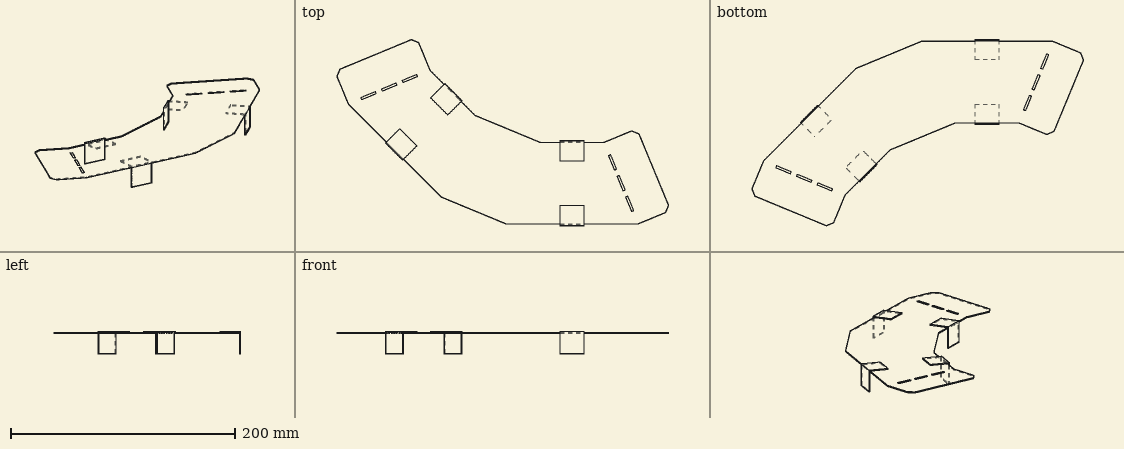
import cadquery as cq
import math


turn = 22.5
panel_width = 79.0
middle_length = 63.1
arm_inner_length = 56.5
end_length = 32.0
end_corner_chamfer = 5.0
plate_thickness = 1.0

slot_length = 14.0
slot_width = 2.0
slot_depth = plate_thickness / 2
slot_pitch = 20.0
slots_per_row = 3
slot_offset = 0.4

clip_width = 21.6
clip_flange = 18.0
clip_height = 20.08
clip_thickness = 1.0
right_clip_gap = 0.47
left_clip_gap = 0.0

turn_radians = math.radians(turn)
arm_width = panel_width * math.cos(turn_radians)
arm_slant = arm_width * math.tan(turn_radians)
arm_outer_length = arm_inner_length + 2 * arm_slant


def step(point, angle, distance):
    """The point reached by going a distance from a point, at an angle in degrees from +X."""
    direction = math.radians(angle)
    return (
        point[0] + distance * math.cos(direction),
        point[1] + distance * math.sin(direction),
    )


def mirrored(points):
    """The points mirrored to the left half, in reverse order to carry an outline onward."""
    return [(-x, y) for x, y in reversed(points)]


middle_outer = (middle_length / 2, 0)
middle_inner = (middle_length / 2, panel_width)
joint_outer = step(middle_outer, turn, arm_outer_length)
joint_inner = step(middle_inner, turn, arm_inner_length)
tip_outer = step(joint_outer, 2 * turn, end_length)
tip_inner = step(joint_inner, 2 * turn, end_length)


def make_slots():
    """The row of slots of the right half, cut down from the plate's top."""
    row_x, row_y = (cq.Vector(*joint_outer) + cq.Vector(*joint_inner)).multiply(0.5).toTuple()[:2]
    return (
        cq.Workplane("XY")
        .center(slot_offset, 0)
        .rarray(1, slot_pitch, 1, slots_per_row)
        .rect(slot_width, slot_length)
        .extrude(-slot_depth)
        .rotate((0, 0, 0), (0, 0, 1), 2 * turn)
        .translate((row_x, row_y, plate_thickness))
    )


def make_plate():
    right_outer = [middle_outer, joint_outer, tip_outer]
    right_inner = [tip_inner, joint_inner, middle_inner]
    outline = right_outer + right_inner + mirrored(right_inner) + mirrored(right_outer)
    plate = cq.Workplane("XY").polyline(outline).close().extrude(plate_thickness)

    tips = [tip_outer, tip_inner]
    for x, y in tips + mirrored(tips):
        corner = cq.selectors.NearestToPointSelector((x, y, plate_thickness / 2))
        plate = plate.edges("|Z").edges(corner).chamfer(end_corner_chamfer)

    slots = make_slots()
    return plate.cut(slots).cut(slots.mirror("YZ"))


def make_clip(gap):
    """A clip for an edge along X at Y = 0, with the plate on its +Y side."""
    leg_inner = -gap
    leg_outer = leg_inner - clip_thickness
    flange_end = leg_outer + clip_flange
    clip_top = plate_thickness + clip_thickness
    clip_bottom = clip_top - clip_height
    profile = [
        (leg_outer, clip_top),
        (flange_end, clip_top),
        (flange_end, plate_thickness),
        (leg_inner, plate_thickness),
        (leg_inner, clip_bottom),
        (leg_outer, clip_bottom),
    ]
    return cq.Workplane("YZ").polyline(profile).close().extrude(clip_width / 2, both=True)


def make_clip_pair(gap):
    """The clips halfway along the outer and inner edges of the right arm."""
    clips = []
    for start, length, facing in [
        (middle_outer, arm_outer_length, 0),
        (middle_inner, arm_inner_length, 180),
    ]:
        x, y = step(start, turn, length / 2)
        clip = make_clip(gap).rotate((0, 0, 0), (0, 0, 1), turn + facing)
        clips.append(clip.translate((x, y, 0)))
    return clips


plate = make_plate()
right_clips = make_clip_pair(right_clip_gap)
left_clips = [clip.mirror("YZ") for clip in make_clip_pair(left_clip_gap)]

bodies = [
    body.rotate((0, 0, 0), (0, 0, 1), -turn).solids().val()
    for body in [plate, *right_clips, *left_clips]
]
result = cq.Compound.makeCompound(bodies)